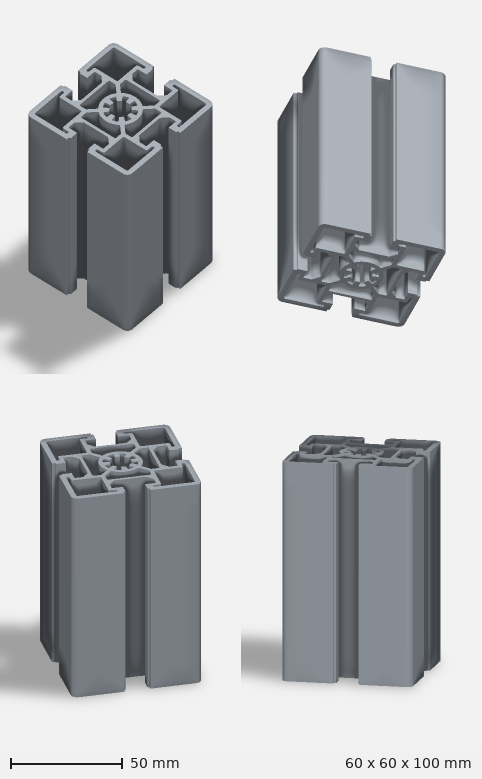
import cadquery as cq

side = 60.0
length = 100.0
half_side = side / 2
corner_radius = 3.0
skin = 2.6

mouth_half_width = 5.1
rebate_half_width = 6.0
rebate_depth = 1.5
lip_depth = 6.1
lip_edge_radius = 0.4
slot_half_width = 10.2
slot_depth = 13.0
slot_chamfer = 3.0

slot_wall = 2.0
undercut_width = 1.6
undercut_end = 8.2
pocket_corner_radius = 0.8

floor_thickness = 1.5
spoke_width = 2.0
chamber_corner_radius = 0.5

tube_outer_radius = 10.0
tube_inner_radius = 8.0
tooth_count = 8
tooth_tip_radius = 4.9
tooth_root_width = 3.0
tooth_tip_width = 2.2
tooth_tip_rounding = 0.4


def prism(points):
    """Extrude a closed outline over the full length."""
    return cq.Workplane("XY").polyline(points).close().extrude(length)


def around_axis(body, angle):
    return body.rotate((0, 0, 0), (0, 0, 1), angle)


def fillet_corners(body, corners, radius):
    """Round the lengthwise edges that pass through the given XY corners."""
    for x, y in corners:
        nearest = cq.selectors.NearestToPointSelector((x, y, length / 2))
        body = body.edges("|Z").edges(nearest).fillet(radius)
    return body


def t_slot():
    """Void of the slot that opens on the +Y side."""
    floor = half_side - slot_depth
    lip = half_side - lip_depth
    rebate = half_side - rebate_depth
    right = [
        (slot_half_width - slot_chamfer, floor),
        (slot_half_width, floor + slot_chamfer),
        (slot_half_width, lip),
        (mouth_half_width, lip),
        (mouth_half_width, rebate),
        (rebate_half_width, rebate),
        (rebate_half_width, half_side),
    ]
    left = [(-x, y) for x, y in reversed(right)]
    lip_edges = [(mouth_half_width, rebate), (-mouth_half_width, rebate)]
    return fillet_corners(prism(right + left), lip_edges, lip_edge_radius)


def corner_pocket():
    """Void of the pocket in the +X +Y corner."""
    inner = slot_half_width + slot_wall
    outer = half_side - skin
    step = outer - undercut_width
    end_radius = undercut_width / 2
    arc_start = undercut_end + end_radius
    arc_middle = outer - end_radius
    pocket = (
        cq.Workplane("XY")
        .moveTo(inner, inner)
        .lineTo(step, inner)
        .lineTo(step, arc_start)
        .threePointArc((arc_middle, undercut_end), (outer, arc_start))
        .lineTo(outer, outer)
        .lineTo(arc_start, outer)
        .threePointArc((undercut_end, arc_middle), (arc_start, step))
        .lineTo(inner, step)
        .close()
        .extrude(length)
    )
    corners = [(inner, inner), (step, inner), (outer, outer), (inner, step)]
    return fillet_corners(pocket, corners, pocket_corner_radius)


def chamber():
    """Void between the +Y slot floor, two diagonal spokes and the tube."""
    top = half_side - slot_depth - floor_thickness
    spoke_offset = spoke_width / 2**0.5
    outline = [
        (0, spoke_offset),
        (slot_half_width, slot_half_width + spoke_offset),
        (slot_half_width, top),
        (-slot_half_width, top),
        (-slot_half_width, slot_half_width + spoke_offset),
    ]
    tube = cq.Workplane("XY").circle(tube_outer_radius).extrude(length)
    return prism(outline).cut(tube).edges("|Z").fillet(chamber_corner_radius)


def toothed_bore():
    """Void of the tube bore, with the teeth left standing."""
    root = tube_inner_radius
    tooth = prism([
        (tooth_tip_radius, -tooth_tip_width / 2),
        (root, -tooth_root_width / 2),
        (root, tooth_root_width / 2),
        (tooth_tip_radius, tooth_tip_width / 2),
    ]).edges("|Z and <X").fillet(tooth_tip_rounding)
    bore = cq.Workplane("XY").circle(tube_inner_radius).extrude(length)
    for i in range(tooth_count):
        bore = bore.cut(around_axis(tooth, i * 360 / tooth_count))
    return bore


result = (
    cq.Workplane("XY")
    .rect(side, side)
    .extrude(length)
    .edges("|Z")
    .fillet(corner_radius)
    .cut(toothed_bore())
)
for void in (t_slot(), corner_pocket(), chamber()):
    for quarter_turn in range(4):
        result = result.cut(around_axis(void, quarter_turn * 90))